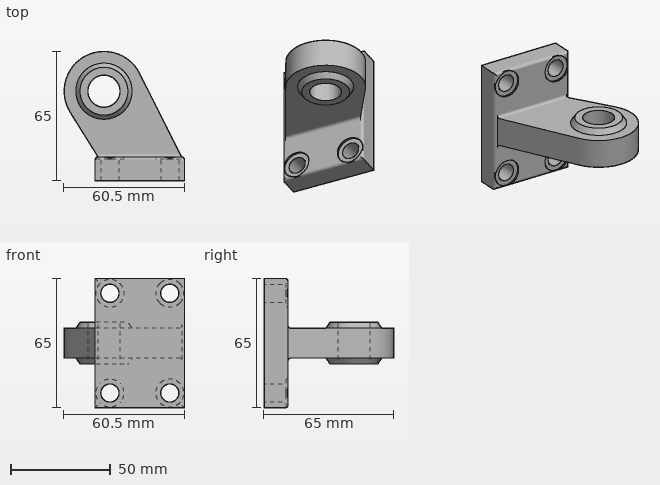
import cadquery as cq
import math


plate_width = 45.0
plate_height = 65.0
plate_thickness = 12.0
plate_center_x = 18.0
plate_outer_y = -45.0
plate_inner_y = plate_outer_y + plate_thickness
edge_radius = 1.5

hole_diameter = 9.0
spotface_diameter = 14.0
spotface_depth = 1.0
hole_spacing_x = 30.0
hole_spacing_z = 50.0

arm_thickness = 15.0
eye_radius = 20.0
bore_diameter = 16.0
boss_base_radius = 14.1
boss_top_radius = 12.0
boss_height = 3.0


def make_plate():
    """Plate whose four edges on the arm side are rounded."""
    plate = cq.Workplane("XY").box(plate_width, plate_thickness, plate_height)
    plate = plate.faces(">Y").edges().fillet(edge_radius)
    return plate.translate((plate_center_x, plate_outer_y + plate_thickness / 2, 0))


def tangent_point(x, y, side):
    """Point where the line from (x, y) touches the eye circle; side is +1 for the +X flank, -1 for -X."""
    direction = math.atan2(y, x)
    spread = math.acos(eye_radius / math.hypot(x, y))
    angle = direction + side * spread
    return (eye_radius * math.cos(angle), eye_radius * math.sin(angle))


def make_arm_outline():
    """Block whose straight flanks run from the plate tangentially into the round eye."""
    foot_half_width = plate_width / 2 - edge_radius
    foot_left = (plate_center_x - foot_half_width, plate_inner_y)
    foot_right = (plate_center_x + foot_half_width, plate_inner_y)
    block_height = arm_thickness + 2 * edge_radius
    return (
        cq.Workplane("XY", origin=(0, 0, -block_height / 2))
        .moveTo(*foot_left)
        .lineTo(*tangent_point(*foot_left, -1))
        .threePointArc((0, eye_radius), tangent_point(*foot_right, 1))
        .lineTo(*foot_right)
        .close()
        .extrude(block_height)
    )


def make_arm_section():
    """Arm thickness profile along X, widening into the plate with a concave fillet on each flat face."""
    face_z = arm_thickness / 2
    root_y = plate_inner_y + edge_radius
    root_z = face_z + edge_radius
    length = 2 * (plate_width + eye_radius)
    return (
        cq.Workplane("YZ")
        .moveTo(eye_radius, -face_z)
        .lineTo(root_y, -face_z)
        .radiusArc((plate_inner_y, -root_z), -edge_radius)
        .lineTo(plate_inner_y, root_z)
        .radiusArc((root_y, face_z), -edge_radius)
        .lineTo(eye_radius, face_z)
        .close()
        .extrude(length / 2, both=True)
    )


def make_boss():
    """Tapered boss standing on the upper arm face."""
    return (
        cq.Workplane("XY")
        .workplane(offset=arm_thickness / 2)
        .circle(boss_base_radius)
        .workplane(offset=boss_height)
        .circle(boss_top_radius)
        .loft(ruled=True)
    )


def make_hole_pattern(diameter, start_y, length):
    """Four cylinders on the mounting hole pattern, running from start_y toward +Y."""
    return (
        cq.Workplane("XZ", origin=(plate_center_x, start_y, 0))
        .rarray(hole_spacing_x, hole_spacing_z, 2, 2)
        .circle(diameter / 2)
        .extrude(-length)
    )


arm = make_arm_outline().intersect(make_arm_section())
boss = make_boss()
bore_length = arm_thickness + 2 * boss_height
bore = cq.Workplane("XY").circle(bore_diameter / 2).extrude(bore_length / 2, both=True)
holes = make_hole_pattern(hole_diameter, plate_outer_y, plate_thickness)
spotfaces = make_hole_pattern(spotface_diameter, plate_inner_y - spotface_depth, spotface_depth)

body = make_plate().union(arm).union(boss).union(boss.mirror("XY"))
result = body.cut(bore).cut(holes).cut(spotfaces)